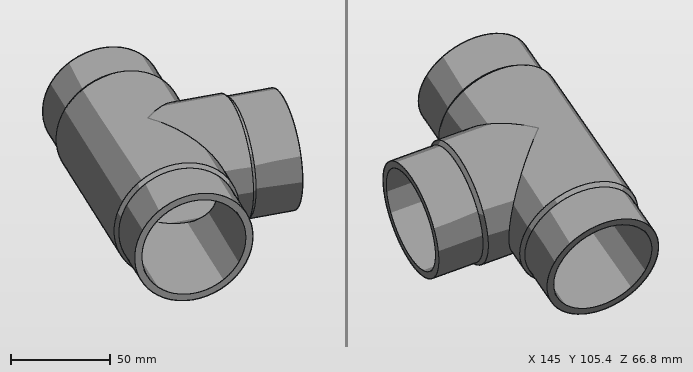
import cadquery as cq

run_length = 145.0
overall_depth = 105.4
body_diameter = 66.8
spigot_diameter = 63.1
bore_diameter = 55.4
spigot_length = 25.0
shoulder_length = 2.0

body_radius = body_diameter / 2
spigot_radius = spigot_diameter / 2
bore_radius = bore_diameter / 2
half_run = run_length / 2
branch_reach = overall_depth - body_radius


def arm_profile(reach):
    """(radius, axial position) points from the body's shoulder out to the mouth."""
    spigot_start = reach - spigot_length
    return [
        (body_radius, spigot_start - shoulder_length),
        (spigot_radius, spigot_start),
        (spigot_radius, reach),
        (0, reach),
    ]


def revolve_about_y(points):
    """Solid of revolution about the Y axis from a closed half profile."""
    return cq.Workplane("XY").polyline(points).close().revolve(360, (0, 0, 0), (0, 1, 0))


end_profile = arm_profile(half_run)
opposite_end_profile = [(radius, -position) for radius, position in reversed(end_profile)]
run = revolve_about_y(opposite_end_profile + end_profile).rotate((0, 0, 0), (0, 0, 1), 90)
branch = revolve_about_y([(0, 0), (body_radius, 0)] + arm_profile(branch_reach))
outer = run.union(branch)

run_bore = cq.Workplane("YZ").circle(bore_radius).extrude(half_run, both=True)
branch_bore = cq.Workplane("XZ").circle(bore_radius).extrude(-branch_reach)

result = outer.cut(run_bore).cut(branch_bore)